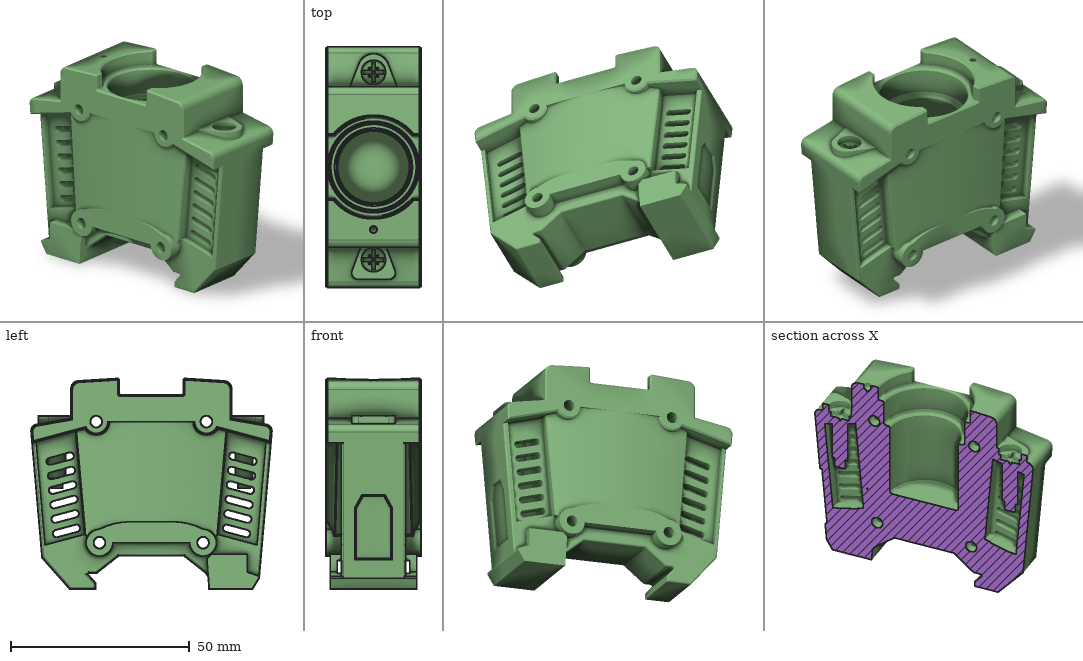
import math

import cadquery as cq

HALF_WIDTH = 13.3
LEG_HALF_WIDTH = 9.0
LEG_FILLET = 0.5
HOUSING_CHAMFER = 0.45
THROUGH = 100.0
PICK_MARGIN = 0.2

FACE_LEAN = math.radians(5)
SHOULDER_Z = 45.0
FRONT_REACH = 33.87
BACK_REACH = 33.75

BLOCK_HALF_LENGTH = 22.5
TOP_INNER_Z = 58.98
TOP_OUTER_Z = 58.15
TOP_CORNER_RADIUS = 2.3
SHOULDER_ROOT_Z = 47.8
SHOULDER_SLOPE = math.radians(10)
SHOULDER_RADIUS = 2.0
PANEL_TILT = math.radians(15)
FLANGE_TIP_Z = 40.9
NOTCH_HALF_LENGTH = 8.95
NOTCH_Z = 54.4
NOTCH_EDGE = 0.4
COLLAR_RADIUS = 14.15

BOLT_DIAMETER = 3.2
BOSS_RADIUS = 3.75
UPPER_BOLT_Y, UPPER_BOLT_Z = 15.42, 46.87
LOWER_BOLT_Y, LOWER_BOLT_Z = 14.5, 12.98

SOCKET_DIAMETER = 24.8
SEAT_DIAMETER = 21.0
SEAT_Z = 46.5
SOCKET_FLOOR_Z = 24.0
SOCKET_CHAMFER = 0.45
INDICATOR_DIAMETER = 2.0
INDICATOR_DEPTH = 1.0
INDICATOR_Y = -17.5

BARREL_RADIUS = 74.0
BARREL_HALF_LENGTH = 18.7
BARREL_FOOT_Z = 15.3
BARREL_CHAMFER = 0.3
BARREL_OVERLAP = 1.0

ARCH_FLAT_HALF = 5.9
ARCH_TOP_Z = 18.85
ARCH_RADIUS = 19.0
ARCH_END_ANGLE = math.radians(33)

RAIL_Z = 9.3
RAIL_HALF_LENGTH = 9.2
RAIL_SHELF_Y, RAIL_SHELF_Z = 15.3, 4.5
HOOK_MOUTH_Y = 17.8
HOOK_MOUTH_BEVEL = 0.4
HOOK_TIP_Y, HOOK_TIP_Z = 15.6, 1.7
HOOK_HEEL_Y = 22.8
HOOK_SIDE_Z = 8.8
FRONT_LEG_Z = 3.1

PANEL_HALF_WIDTH = 7.0
BACK_FRAME, FRONT_FRAME = 1.15, 1.4
PANEL_FOOT_Z = 12.35
CHAMBER_HALF_WIDTH = 3.5
CHAMBER_INSET = 1.5
SLOT_WIDTH = 2.0
SLOT_SPAN = 5.8
SLOT_COUNT = 6
SLOT_PITCH = 4.06
TOP_SLOT_Z = 36.5
SLOT_SETBACK = 7.5

LUG_TOP_Z = 48.45
BACK_SCREW_Y = 26.5
FRONT_SCREW_Y = -25.95
HEAD_DIAMETER = 6.8
HEAD_Z = 46.4
STEM_DIAMETER, STEM_Z = 5.0, 31.0
TIP_DIAMETER, TIP_Z = 3.5, 28.2
CROSS_SPAN, CROSS_WIDTH, CROSS_DEPTH = 5.6, 1.1, 1.5
STAR_SPAN, STAR_WIDTH = 3.6, 0.5
PIT_RADIUS, PIT_DEPTH = 1.3, 2.4

CLIP_HALF_WIDTH = 12.15
CLIP_TOP_Z = 9.8
CLIP_BEVEL = 1.2
CLIP_JAW_Y, CLIP_TOP_JAW_Y = 16.15, 15.6
CLIP_BACK_Y = 26.9
CLIP_HEEL_Y = 28.3
CLIP_LEDGE_Z, CLIP_LEDGE_TIP_Z = 4.8, 3.6
CLIP_GAP_HALF_WIDTH = 10.1
CLIP_GAP_Z = (4.5, 7.95)

LABEL_HALF_WIDTH, LABEL_TIP_HALF_WIDTH = 5.3, 3.2
LABEL_FOOT_Z, LABEL_SHOULDER_Z, LABEL_TOP_Z = 8.2, 22.6, 26.4
LABEL_DEPTH = 0.6
LABEL_TAPER = 35


def prism(points, half_width):
    """Extrude a (Y, Z) outline symmetrically along X."""
    return cq.Workplane("YZ").polyline(points).close().extrude(half_width, both=True)


def rod(y, z, radius, half_width):
    """Cylinder along X, centred on X = 0."""
    return cq.Workplane("YZ").center(y, z).circle(radius).extrude(half_width, both=True)


def post(y, z_low, z_high, diameter):
    """Upright cylinder on the X = 0 plane."""
    return cq.Workplane("XY", origin=(0, y, z_low)).circle(diameter / 2).extrude(z_high - z_low)


def block(x_size, y_range, z_range):
    """Box centred on X = 0."""
    y_low, y_high = y_range
    z_low, z_high = z_range
    box = cq.Workplane("XY").box(x_size, y_high - y_low, z_high - z_low, centered=(True, False, False))
    return box.translate((0, y_low, z_low))


def face_y(reach, z):
    """Y distance of a leaning end face at height z."""
    return reach - (SHOULDER_Z - z) * math.tan(FACE_LEAN)


def flange_bottom_z(reach, y):
    """Height of the sloping flange underside at distance y from the middle."""
    return FLANGE_TIP_Z + (face_y(reach, FLANGE_TIP_Z) - y) * math.tan(PANEL_TILT)


def panel_bottom_z(reach, frame, y):
    """Height of the sloping lower edge of a vent panel."""
    corner_y = face_y(reach, PANEL_FOOT_Z) - frame
    return PANEL_FOOT_Z + (corner_y - y) * math.tan(PANEL_TILT)


def barrel_edge_y(z):
    """Y distance of the leaning end of the barrel at height z."""
    return BARREL_HALF_LENGTH + (z - BARREL_FOOT_Z) * math.tan(FACE_LEAN)


def shoulder_tip_z(reach):
    """Height of the sloping shoulder where it meets the leaning end face."""
    return SHOULDER_ROOT_Z - (reach - BLOCK_HALF_LENGTH) * math.tan(SHOULDER_SLOPE)


def housing_half(reach):
    """Half of the housing outline on the +Y side, from top to underside."""
    tip_z = shoulder_tip_z(reach)
    rim_y = NOTCH_HALF_LENGTH + NOTCH_EDGE
    top_slope = (TOP_INNER_Z - TOP_OUTER_Z) / (BLOCK_HALF_LENGTH - rim_y)
    ridge_z = TOP_INNER_Z + rim_y * top_slope
    return [
        (0, ridge_z),
        (BLOCK_HALF_LENGTH, TOP_OUTER_Z),
        (BLOCK_HALF_LENGTH, SHOULDER_ROOT_Z),
        (face_y(reach, tip_z), tip_z),
        (face_y(reach, FLANGE_TIP_Z), FLANGE_TIP_Z),
        (UPPER_BOLT_Y, flange_bottom_z(reach, UPPER_BOLT_Y)),
        (UPPER_BOLT_Y, UPPER_BOLT_Z),
    ]


def make_notch():
    """Cross notch with a round collar pocket, its root filleted."""
    notch = block(THROUGH, (-NOTCH_HALF_LENGTH, NOTCH_HALF_LENGTH), (NOTCH_Z, THROUGH))
    notch = notch.union(post(0, NOTCH_Z, THROUGH, 2 * COLLAR_RADIUS))
    return notch.faces("<Z").edges().fillet(NOTCH_EDGE)


def make_housing():
    back = housing_half(BACK_REACH)
    front = [(-y, z) for y, z in housing_half(FRONT_REACH)]
    body = prism(back + front[:0:-1], HALF_WIDTH)
    for side in (-1, 1):
        body = body.union(rod(side * UPPER_BOLT_Y, UPPER_BOLT_Z, BOSS_RADIUS, HALF_WIDTH))
    top_corners = cq.selectors.BoxSelector(
        (-PICK_MARGIN, -BLOCK_HALF_LENGTH - PICK_MARGIN, TOP_OUTER_Z - PICK_MARGIN),
        (PICK_MARGIN, BLOCK_HALF_LENGTH + PICK_MARGIN, TOP_OUTER_Z + PICK_MARGIN))
    body = body.edges(top_corners).fillet(TOP_CORNER_RADIUS)
    for sign, reach in ((1, BACK_REACH), (-1, FRONT_REACH)):
        tip_z = shoulder_tip_z(reach)
        tip_y = sign * face_y(reach, tip_z)
        tip = cq.selectors.BoxSelector(
            (-PICK_MARGIN, tip_y - PICK_MARGIN, tip_z - PICK_MARGIN),
            (PICK_MARGIN, tip_y + PICK_MARGIN, tip_z + PICK_MARGIN))
        body = body.edges(tip).fillet(SHOULDER_RADIUS)
    body = body.cut(make_notch())
    rim = cq.selectors.BoxSelector(
        (-HALF_WIDTH + PICK_MARGIN, -COLLAR_RADIUS, TOP_OUTER_Z),
        (HALF_WIDTH - PICK_MARGIN, COLLAR_RADIUS, THROUGH))
    body = body.edges(rim).chamfer(NOTCH_EDGE)
    body = body.faces("<X or >X").edges().chamfer(HOUSING_CHAMFER)
    sharp_edge = block(
        2 * HALF_WIDTH, (-UPPER_BOLT_Y, UPPER_BOLT_Y), (UPPER_BOLT_Z, UPPER_BOLT_Z + 2 * HOUSING_CHAMFER))
    return body.union(sharp_edge)


def make_lower_body():
    outline = [
        (face_y(BACK_REACH, FLANGE_TIP_Z), FLANGE_TIP_Z),
        (face_y(BACK_REACH, HOOK_SIDE_Z), HOOK_SIDE_Z),
        (HOOK_HEEL_Y, 0),
        (HOOK_TIP_Y, 0),
        (HOOK_TIP_Y, HOOK_TIP_Z),
        (HOOK_MOUTH_Y, RAIL_SHELF_Z - HOOK_MOUTH_BEVEL),
        (HOOK_MOUTH_Y - HOOK_MOUTH_BEVEL, RAIL_SHELF_Z),
        (RAIL_SHELF_Y, RAIL_SHELF_Z),
        (RAIL_HALF_LENGTH, RAIL_Z),
        (-RAIL_HALF_LENGTH, RAIL_Z),
        (-RAIL_SHELF_Y, RAIL_SHELF_Z),
        (-CLIP_JAW_Y, FRONT_LEG_Z),
        (-face_y(FRONT_REACH, FRONT_LEG_Z), FRONT_LEG_Z),
        (-face_y(FRONT_REACH, FLANGE_TIP_Z), FLANGE_TIP_Z),
        (-UPPER_BOLT_Y, UPPER_BOLT_Z),
        (UPPER_BOLT_Y, UPPER_BOLT_Z),
    ]
    return prism(outline, LEG_HALF_WIDTH).faces("<X or >X").edges().fillet(LEG_FILLET)


def make_barrel():
    foot_y = barrel_edge_y(BARREL_FOOT_Z)
    top_y = barrel_edge_y(UPPER_BOLT_Z)
    outline = [
        (-foot_y, BARREL_FOOT_Z),
        (-LOWER_BOLT_Y, LOWER_BOLT_Z),
        (LOWER_BOLT_Y, LOWER_BOLT_Z),
        (foot_y, BARREL_FOOT_Z),
        (top_y, UPPER_BOLT_Z),
        (-top_y, UPPER_BOLT_Z),
    ]
    barrel = prism(outline, HALF_WIDTH)
    for side in (-1, 1):
        curve = post(0, 0, TOP_INNER_Z, 2 * BARREL_RADIUS)
        barrel = barrel.intersect(curve.translate((side * (HALF_WIDTH - BARREL_RADIUS), 0, 0)))
    middle_z = (BARREL_FOOT_Z + UPPER_BOLT_Z) / 2
    end_edges = cq.selectors.BoxSelector(
        (-HALF_WIDTH, -THROUGH, middle_z - PICK_MARGIN), (HALF_WIDTH, THROUGH, middle_z + PICK_MARGIN))
    ends = barrel.edges(end_edges)
    return ends.chamfer(BARREL_CHAMFER)


def make_lower_plate():
    arch_y = ARCH_FLAT_HALF + ARCH_RADIUS * math.sin(ARCH_END_ANGLE)
    arch_z = ARCH_TOP_Z - ARCH_RADIUS * (1 - math.cos(ARCH_END_ANGLE))
    mid_y = ARCH_FLAT_HALF + ARCH_RADIUS * math.sin(ARCH_END_ANGLE / 2)
    mid_z = ARCH_TOP_Z - ARCH_RADIUS * (1 - math.cos(ARCH_END_ANGLE / 2))
    plate = (
        cq.Workplane("YZ")
        .moveTo(-ARCH_FLAT_HALF, ARCH_TOP_Z)
        .lineTo(ARCH_FLAT_HALF, ARCH_TOP_Z)
        .threePointArc((mid_y, mid_z), (arch_y, arch_z))
        .lineTo(LOWER_BOLT_Y, LOWER_BOLT_Z)
        .lineTo(-LOWER_BOLT_Y, LOWER_BOLT_Z)
        .lineTo(-arch_y, arch_z)
        .threePointArc((-mid_y, mid_z), (-ARCH_FLAT_HALF, ARCH_TOP_Z))
        .close()
        .extrude(HALF_WIDTH, both=True)
    )
    for side in (-1, 1):
        plate = plate.union(rod(side * LOWER_BOLT_Y, LOWER_BOLT_Z, BOSS_RADIUS, HALF_WIDTH))
    return plate


def make_clip():
    front_y = -face_y(FRONT_REACH, FRONT_LEG_Z)
    outline = [
        (-CLIP_TOP_JAW_Y, CLIP_TOP_Z - CLIP_BEVEL),
        (-CLIP_TOP_JAW_Y - CLIP_BEVEL, CLIP_TOP_Z),
        (-CLIP_BACK_Y, CLIP_TOP_Z),
        (-CLIP_BACK_Y, CLIP_LEDGE_Z),
        (front_y, CLIP_LEDGE_TIP_Z),
        (front_y, FRONT_LEG_Z),
        (-CLIP_HEEL_Y, 0),
        (-CLIP_JAW_Y, 0),
    ]
    clip = prism(outline, CLIP_HALF_WIDTH)
    return clip.cut(block(2 * CLIP_GAP_HALF_WIDTH, (-THROUGH, 0), CLIP_GAP_Z))


def panel_outline(reach, frame, inset):
    """Vent panel outline on the +Y side, shrunk at its outer and lower edges by inset."""
    foot_y = face_y(reach, PANEL_FOOT_Z) - frame - inset
    tip_y = face_y(reach, FLANGE_TIP_Z) - frame - inset
    inner_low_y = barrel_edge_y(BARREL_FOOT_Z) - BARREL_OVERLAP
    inner_top_y = barrel_edge_y(UPPER_BOLT_Z) - BARREL_OVERLAP
    return [
        (foot_y, panel_bottom_z(reach, frame, foot_y) + inset),
        (tip_y, flange_bottom_z(reach, tip_y)),
        (inner_top_y, flange_bottom_z(reach, inner_top_y)),
        (inner_low_y, panel_bottom_z(reach, frame, inner_low_y) + inset),
    ]


def make_panel_cuts(sign, reach, frame):
    """Side recesses, inner chamber and vent slots of one leg."""
    recess_outline = [(sign * y, z) for y, z in panel_outline(reach, frame, 0)]
    chamber_outline = [(sign * y, z) for y, z in panel_outline(reach, frame, CHAMBER_INSET)]
    recess = prism(recess_outline, HALF_WIDTH).cut(prism(recess_outline, PANEL_HALF_WIDTH))
    chamber = prism(chamber_outline, CHAMBER_HALF_WIDTH)
    cuts = recess.union(chamber)
    for index in range(SLOT_COUNT):
        z = TOP_SLOT_Z - index * SLOT_PITCH * math.cos(FACE_LEAN)
        y = face_y(reach, z) - SLOT_SETBACK
        slot = (
            cq.Workplane("YZ", origin=(0, sign * y, z))
            .slot2D(SLOT_SPAN + SLOT_WIDTH, SLOT_WIDTH, -sign * math.degrees(PANEL_TILT))
            .extrude(LEG_HALF_WIDTH, both=True)
        )
        cuts = cuts.union(slot)
    return cuts


def make_back_lug():
    """Dome shaped lug around the +Y screw."""
    root_half, side_half = 6.6, 4.15
    side_y, tip_y = 28.8, 31.7
    return (
        cq.Workplane("XY", origin=(0, 0, SHOULDER_Z))
        .moveTo(-root_half, BLOCK_HALF_LENGTH)
        .lineTo(-side_half, side_y)
        .threePointArc((0, tip_y), (side_half, side_y))
        .lineTo(root_half, BLOCK_HALF_LENGTH)
        .close()
        .extrude(LUG_TOP_Z - SHOULDER_Z)
    )


def make_front_lug():
    """Trapezoid lug around the -Y screw, wide end outwards."""
    root_half, tip_half, tip_y, corner_radius = 3.6, 6.9, -31.45, 1.8
    lug = (
        cq.Workplane("XY", origin=(0, 0, SHOULDER_Z))
        .polyline([
            (-root_half, -BLOCK_HALF_LENGTH),
            (-tip_half, tip_y),
            (tip_half, tip_y),
            (root_half, -BLOCK_HALF_LENGTH),
        ])
        .close()
        .extrude(LUG_TOP_Z - SHOULDER_Z)
    )
    return lug.edges("|Z and <Y").fillet(corner_radius)


def make_screw_recess(y):
    """Head well with a cross and star drive below it."""
    recess = post(y, HEAD_Z, THROUGH, HEAD_DIAMETER)
    drive = cq.Workplane("XY", origin=(0, y, HEAD_Z - CROSS_DEPTH))
    for angle in (0, 90):
        arm = drive.rect(CROSS_SPAN, CROSS_WIDTH).extrude(CROSS_DEPTH)
        ray = drive.rect(STAR_SPAN, STAR_WIDTH).extrude(CROSS_DEPTH)
        recess = recess.union(arm.rotate((0, y, 0), (0, y, 1), angle))
        recess = recess.union(ray.rotate((0, y, 0), (0, y, 1), angle + 45))
    cone = cq.Solid.makeCone(PIT_RADIUS, 0, PIT_DEPTH, pnt=(0, y, HEAD_Z), dir=(0, 0, -1))
    return recess.union(cq.Workplane(cone))


def make_socket():
    """Stepped fuse bore with broken edges."""
    outer, seat = SOCKET_DIAMETER / 2, SEAT_DIAMETER / 2
    profile = [
        (0, SOCKET_FLOOR_Z),
        (seat - SOCKET_CHAMFER, SOCKET_FLOOR_Z),
        (seat, SOCKET_FLOOR_Z + SOCKET_CHAMFER),
        (seat, SEAT_Z - SOCKET_CHAMFER),
        (seat + SOCKET_CHAMFER, SEAT_Z),
        (outer - SOCKET_CHAMFER, SEAT_Z),
        (outer, SEAT_Z + SOCKET_CHAMFER),
        (outer, NOTCH_Z - SOCKET_CHAMFER),
        (outer + SOCKET_CHAMFER, NOTCH_Z),
        (0, NOTCH_Z),
    ]
    return cq.Workplane("XZ").polyline(profile).close().revolve(360, (0, 0), (0, 1))


def make_indicator():
    """Small blind hole with a conical bottom."""
    radius = INDICATOR_DIAMETER / 2
    floor_z = TOP_OUTER_Z - INDICATOR_DEPTH
    profile = [(0, floor_z - radius), (radius, floor_z), (radius, TOP_INNER_Z), (0, TOP_INNER_Z)]
    hole = cq.Workplane("XZ").polyline(profile).close().revolve(360, (0, 0), (0, 1))
    return hole.translate((0, INDICATOR_Y, 0))


def make_label_recess():
    """Shallow house shaped recess with sloping walls in the leaning -Y face."""
    outward = (0, -math.cos(FACE_LEAN), -math.sin(FACE_LEAN))
    origin = (0, -face_y(FRONT_REACH, LABEL_FOOT_Z), LABEL_FOOT_Z)
    face = cq.Plane(origin=origin, xDir=(1, 0, 0), normal=outward)
    shoulder = (LABEL_SHOULDER_Z - LABEL_FOOT_Z) / math.cos(FACE_LEAN)
    top = (LABEL_TOP_Z - LABEL_FOOT_Z) / math.cos(FACE_LEAN)
    half = [(LABEL_HALF_WIDTH, 0), (LABEL_HALF_WIDTH, shoulder), (LABEL_TIP_HALF_WIDTH, top)]
    outline = half + [(-x, height) for x, height in half[::-1]]
    return cq.Workplane(face).polyline(outline).close().extrude(-LABEL_DEPTH, taper=LABEL_TAPER)


body = make_lower_body()
for leg in ((1, BACK_REACH, BACK_FRAME), (-1, FRONT_REACH, FRONT_FRAME)):
    body = body.cut(make_panel_cuts(*leg))
lugs = (make_back_lug(), make_front_lug())
for added in (make_barrel(), make_lower_plate(), make_clip(), make_housing(), *lugs):
    body = body.union(added)
for screw_y in (BACK_SCREW_Y, FRONT_SCREW_Y):
    body = body.union(post(screw_y, STEM_Z, SHOULDER_Z, STEM_DIAMETER))
    body = body.union(post(screw_y, TIP_Z, STEM_Z, TIP_DIAMETER))
    body = body.cut(make_screw_recess(screw_y))
for bolt_y, bolt_z in ((UPPER_BOLT_Y, UPPER_BOLT_Z), (LOWER_BOLT_Y, LOWER_BOLT_Z)):
    for bolt_side in (-1, 1):
        body = body.cut(rod(bolt_side * bolt_y, bolt_z, BOLT_DIAMETER / 2, HALF_WIDTH))
for removed in (make_socket(), make_indicator(), make_label_recess()):
    body = body.cut(removed)

result = body